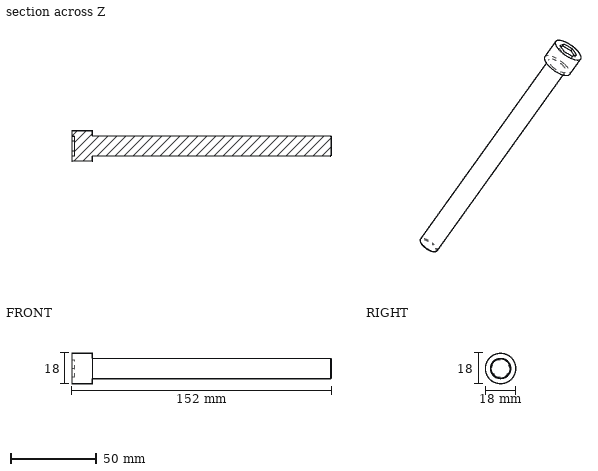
import cadquery as cq
import math

total_length = 152.0
shank_diameter = 12.0
head_diameter = 18.0
head_height = shank_diameter
shank_length = total_length - head_height
tip_chamfer = 0.5
socket_across_flats = 9.9
socket_depth = 1.5


def make_head():
    return cq.Workplane("YZ").circle(head_diameter / 2).extrude(-head_height)


def make_shank():
    shank = cq.Workplane("YZ").circle(shank_diameter / 2).extrude(shank_length)
    return shank.faces(">X").chamfer(tip_chamfer)


def make_socket():
    across_corners = socket_across_flats / math.cos(math.pi / 6)
    socket_plane = cq.Workplane("YZ", origin=(-head_height, 0, 0))
    return socket_plane.polygon(6, across_corners).extrude(socket_depth)


result = make_head().union(make_shank()).cut(make_socket())